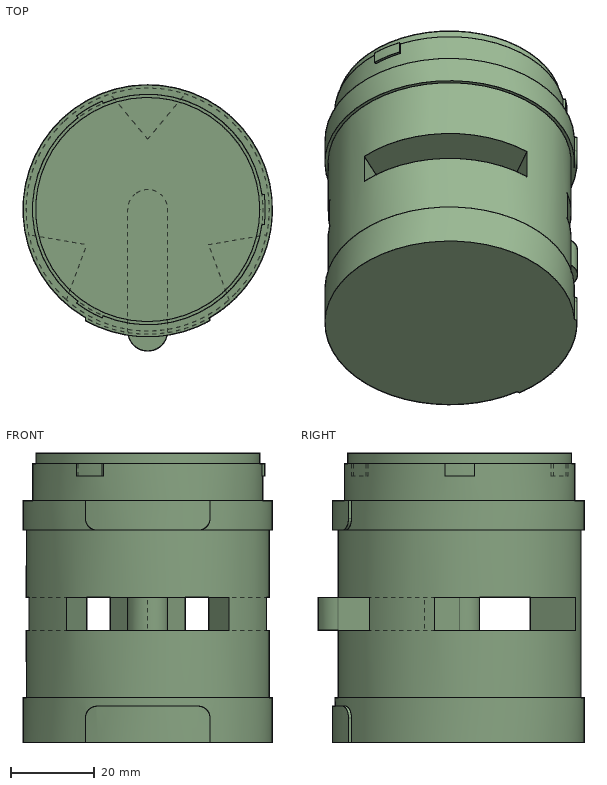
import cadquery as cq
import math

height = 69.6
base_top = 10.85
collar_bottom = 51.1
collar_top = 58.2
lid_bottom = 67.1
flange_radius = 30.0
body_radius = 29.2
neck_radius = 27.7
lid_radius = 26.9

window_bottom = 27.0
window_top = 34.9
pillar_count = 3
pillar_half_angle = 18.0
pillar_apex_radius = 16.9
pillar_overrun = 2

lever_radius = 4.8
lever_reach = 34.0

pad_radius = 30.6
pad_width = 29.9
pad_corner_radius = 2.8
base_pad_top = 8.8

tab_count = 3
tab_width = 7.1
tab_radius = 28.25
tab_bottom = 64.1


def cylinder(radius, bottom, top):
    return cq.Workplane("XY").workplane(offset=bottom).circle(radius).extrude(top - bottom)


def make_housing():
    base = cylinder(flange_radius, 0, base_top)
    body = cylinder(body_radius, base_top, collar_bottom)
    collar = cylinder(flange_radius, collar_bottom, collar_top)
    neck = cylinder(neck_radius, collar_top, lid_bottom)
    lid = cylinder(lid_radius, lid_bottom, height)
    return base.union(body).union(collar).union(neck).union(lid)


def make_pillar(angle):
    """Wedge with a sharp inner edge, running out past the body, turned from the back (+Y)."""
    half_angle = math.radians(pillar_half_angle)
    edge_x = body_radius * math.sin(half_angle)
    edge_y = body_radius * math.cos(half_angle)
    outer_y = pillar_apex_radius + pillar_overrun * (edge_y - pillar_apex_radius)
    outer_x = pillar_overrun * edge_x
    pillar = (
        cq.Workplane("XY")
        .workplane(offset=window_bottom)
        .moveTo(0, pillar_apex_radius)
        .lineTo(outer_x, outer_y)
        .lineTo(-outer_x, outer_y)
        .close()
        .extrude(window_top - window_bottom)
    )
    return pillar.rotate((0, 0, 0), (0, 0, 1), angle)


def make_lever():
    """Bar with round ends, one end on the housing axis and the other outside the front window."""
    return (
        cq.Workplane("XY")
        .workplane(offset=window_bottom)
        .center(0, (lever_radius - lever_reach) / 2)
        .slot2D(lever_reach + lever_radius, 2 * lever_radius, 90)
        .extrude(window_top - window_bottom)
    )


def make_pad(bottom, top, rounded_side):
    """Curved pad on the front; its two corners on the rounded side are filleted."""
    block = (
        cq.Workplane("XY")
        .box(pad_width, pad_radius, top - bottom, centered=(True, False, False))
        .translate((0, -pad_radius, bottom))
        .edges("|Y and " + rounded_side)
        .fillet(pad_corner_radius)
    )
    return block.intersect(cylinder(pad_radius, bottom, top))


def make_tab(angle):
    """Small tab with a round outer face, standing out from the neck."""
    tab = (
        cq.Workplane("XY")
        .box(tab_radius, tab_width, lid_bottom - tab_bottom, centered=(False, True, False))
        .translate((0, 0, tab_bottom))
        .intersect(cylinder(tab_radius, tab_bottom, lid_bottom))
    )
    return tab.rotate((0, 0, 0), (0, 0, 1), angle)


window_space = cylinder(flange_radius, window_bottom, window_top)
for index in range(pillar_count):
    window_space = window_space.cut(make_pillar(index * 360 / pillar_count))

result = make_housing().cut(window_space)
result = result.union(make_lever())
result = result.union(make_pad(0, base_pad_top, ">Z"))
result = result.union(make_pad(collar_bottom, collar_top, "<Z"))
for index in range(tab_count):
    result = result.union(make_tab(index * 360 / tab_count))